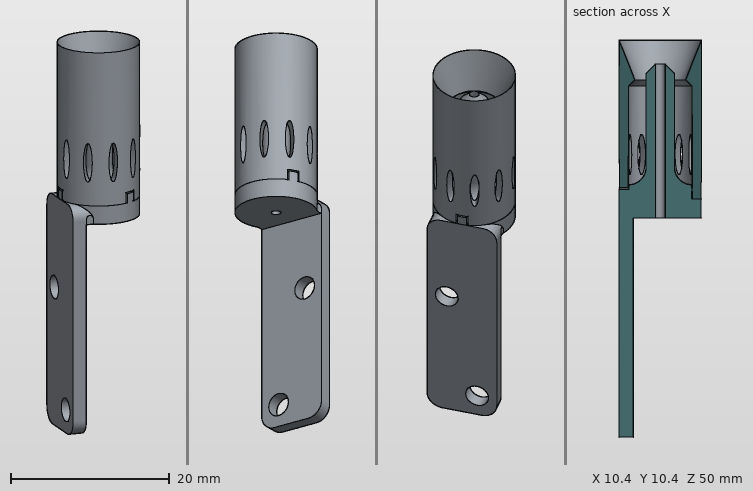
import cadquery as cq
import math

total_height = 50.0
outer_diameter = 10.4
outer_radius = outer_diameter / 2

plate_width = 9.2
plate_thickness = 1.8
plate_top = 30.0
top_corner_radius = 1.8
bottom_corner_radius = 2.0
plate_front = -outer_radius
plate_back = plate_front + plate_thickness
mount_hole_diameter = 3.0
mount_hole_offset = 2.0
lower_hole_height = 3.0
upper_hole_height = 18.0

disc_thickness = 2.4
disc_bottom = plate_top - disc_thickness
blend_radius = 1.2
blend_start_y = -2.35

bore_radius = 8.0 / 2
stem_radius = 3.6 / 2
flare_radius = bore_radius - stem_radius
flare_top = 34.0
tip_base = 45.8
tip_top = 47.0
jet_radius = 1.2 / 2

tab_angles = [30, 150, 270]
tab_width = 1.2
tab_height = 1.2
notch_width = 1.6
notch_height = 1.4

throat_radius = 6.4 / 2
throat_height = 45.0
bore_top = throat_height - (bore_radius - throat_radius)
slot_count = 10
slot_width = 1.15
slot_height = 5.0
slot_center_height = 35.6


def make_radial_bar(width, height, angle):
    """Bar lying on the disc, from the axis out past the sleeve wall, at an angle about Z."""
    bar = cq.Workplane("XY").box(outer_diameter, width, height, centered=(False, True, False))
    return bar.translate((0, 0, plate_top)).rotate((0, 0, 0), (0, 0, 1), angle)


def make_rounded_plate(thickness):
    """Upright plate with rounded corners, running toward +Y from a front face tangent to the disc."""
    return (
        cq.Workplane("XY")
        .box(plate_width, thickness, plate_top, centered=(True, False, False))
        .edges("|Y and >Z")
        .fillet(top_corner_radius)
        .edges("|Y and <Z")
        .fillet(bottom_corner_radius)
        .translate((0, plate_front, 0))
    )


def make_blend():
    """Web behind the plate: concave sides run from its back edges to a tangent on the disc."""
    half_width = plate_width / 2
    tangent_x = math.sqrt(outer_radius**2 - blend_start_y**2)
    web = (
        cq.Workplane("XY", origin=(0, 0, disc_bottom))
        .moveTo(half_width, plate_back)
        .radiusArc((tangent_x, blend_start_y), blend_radius)
        .lineTo(-tangent_x, blend_start_y)
        .radiusArc((-half_width, plate_back), blend_radius)
        .close()
        .extrude(disc_thickness)
    )
    return web.intersect(make_rounded_plate(outer_radius))


def make_nozzle():
    """Disc, flared stem and conical tip turned about Z, with the jet hole through them."""
    flare_bottom = flare_top - flare_radius
    diagonal = flare_radius * math.sqrt(0.5)
    return (
        cq.Workplane("XZ")
        .moveTo(jet_radius, disc_bottom)
        .lineTo(outer_radius, disc_bottom)
        .lineTo(outer_radius, plate_top)
        .lineTo(bore_radius, plate_top)
        .lineTo(bore_radius, flare_bottom)
        .threePointArc((bore_radius - diagonal, flare_top - diagonal), (stem_radius, flare_top))
        .lineTo(stem_radius, tip_base)
        .lineTo(jet_radius, tip_top)
        .close()
        .revolve(360, (0, 0, 0), (0, 1, 0))
    )


def make_base():
    """Plate, disc, nozzle and tabs as one body."""
    base = make_nozzle().union(make_rounded_plate(plate_thickness)).union(make_blend())
    wall_ring = (
        cq.Workplane("XY", origin=(0, 0, plate_top))
        .circle(outer_radius)
        .circle(bore_radius)
        .extrude(tab_height)
    )
    for angle in tab_angles:
        base = base.union(make_radial_bar(tab_width, tab_height, angle).intersect(wall_ring))
    mount_holes = (
        cq.Workplane("XZ", origin=(0, plate_back, 0))
        .pushPoints([(-mount_hole_offset, upper_hole_height), (mount_hole_offset, lower_hole_height)])
        .circle(mount_hole_diameter / 2)
        .extrude(plate_thickness)
    )
    return base.cut(mount_holes)


def make_sleeve():
    """Tube with a funnel mouth, a ring of elliptical air slots and notches at its foot."""
    sleeve = (
        cq.Workplane("XZ")
        .moveTo(bore_radius, plate_top)
        .lineTo(outer_radius, plate_top)
        .lineTo(outer_radius, total_height)
        .lineTo(throat_radius, throat_height)
        .lineTo(bore_radius, bore_top)
        .close()
        .revolve(360, (0, 0, 0), (0, 1, 0))
    )
    slot = (
        cq.Workplane("YZ", origin=(0, 0, slot_center_height))
        .ellipse(slot_width / 2, slot_height / 2)
        .extrude(outer_diameter)
    )
    for index in range(slot_count):
        sleeve = sleeve.cut(slot.rotate((0, 0, 0), (0, 0, 1), index * 360 / slot_count))
    for angle in tab_angles:
        sleeve = sleeve.cut(make_radial_bar(notch_width, notch_height, angle))
    return sleeve


base = make_base()
sleeve = make_sleeve()
result = cq.Compound.makeCompound([base.solids().val(), sleeve.solids().val()])